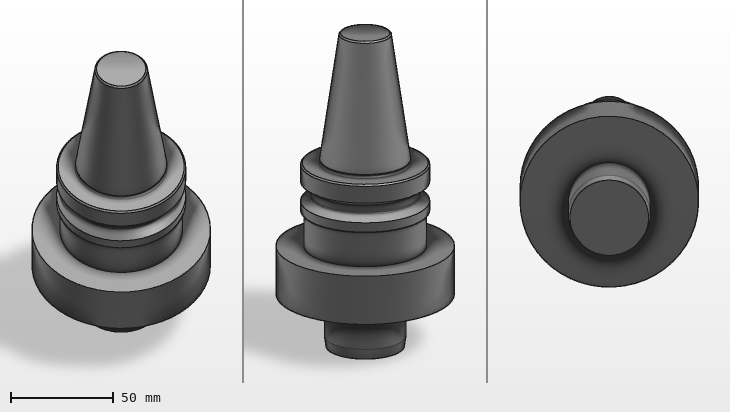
import cadquery as cq
import math

total_height = 162.4
taper_length = 65.5
gauge_diameter = 44.5
taper_ratio = 7 / 24
tip_chamfer = 0.8

neck_height = 2.0
neck_diameter = 43.2
neck_chamfer = 0.6

flange_diameter = 63.0
flange_height = 25.0
flange_chamfer = 0.8
flange_lower_chamfer = 0.5
groove_diameter = 53.0
groove_floor_height = 4.4
groove_drop = 16.5
groove_wall_angle = 30.0

neck_fillet = 1.0
groove_fillet = 0.6

body_diameter = 60.0
disc_diameter = 87.0
disc_height = 25.0
pilot_diameter = 40.0
pilot_length = 27.0
pilot_end_diameter = 38.3
pilot_lead_length = 5.4

gauge_z = total_height - taper_length
flange_top_z = gauge_z - neck_height
flange_bottom_z = flange_top_z - flange_height
disc_top_z = pilot_length + disc_height
tip_radius = (gauge_diameter - taper_ratio * taper_length) / 2
taper_end_radius = tip_radius + taper_ratio * tip_chamfer / 2
flange_radius = flange_diameter / 2
groove_radius = groove_diameter / 2
groove_z = gauge_z - groove_drop
groove_floor_half = groove_floor_height / 2
groove_wall_rise = (flange_radius - groove_radius) * math.tan(math.radians(groove_wall_angle))
groove_mouth_half = groove_floor_half + groove_wall_rise

profile = [
    (0, 0),
    (pilot_end_diameter / 2, 0),
    (pilot_diameter / 2, pilot_lead_length),
    (pilot_diameter / 2, pilot_length),
    (disc_diameter / 2, pilot_length),
    (disc_diameter / 2, disc_top_z),
    (body_diameter / 2, disc_top_z),
    (body_diameter / 2, flange_bottom_z),
    (flange_radius - flange_lower_chamfer, flange_bottom_z),
    (flange_radius, flange_bottom_z + flange_lower_chamfer),
    (flange_radius, groove_z - groove_mouth_half),
    (groove_radius, groove_z - groove_floor_half),
    (groove_radius, groove_z + groove_floor_half),
    (flange_radius, groove_z + groove_mouth_half),
    (flange_radius, flange_top_z - flange_chamfer),
    (flange_radius - flange_chamfer, flange_top_z),
    (neck_diameter / 2, flange_top_z),
    (neck_diameter / 2, gauge_z - neck_chamfer),
    (gauge_diameter / 2, gauge_z),
    (taper_end_radius, total_height - tip_chamfer),
    (taper_end_radius - tip_chamfer, total_height),
    (0, total_height),
]

turned_body = cq.Workplane("XZ").polyline(profile).close().revolve(360, (0, 0, 0), (0, 1, 0))


def corner_edge(body, radius, height):
    """Select the circular edge of the given radius and height."""
    margin = 0.2
    reach = radius + margin
    selector = cq.selectors.BoxSelector(
        (-reach, -reach, height - margin), (reach, reach, height + margin), boundingbox=True
    )
    return body.edges("%CIRCLE").edges(selector)


internal_corners = [
    (neck_diameter / 2, flange_top_z, neck_fillet),
    (groove_radius, groove_z - groove_floor_half, groove_fillet),
    (groove_radius, groove_z + groove_floor_half, groove_fillet),
]
result = turned_body
for radius, height, fillet_radius in internal_corners:
    result = corner_edge(result, radius, height).fillet(fillet_radius)